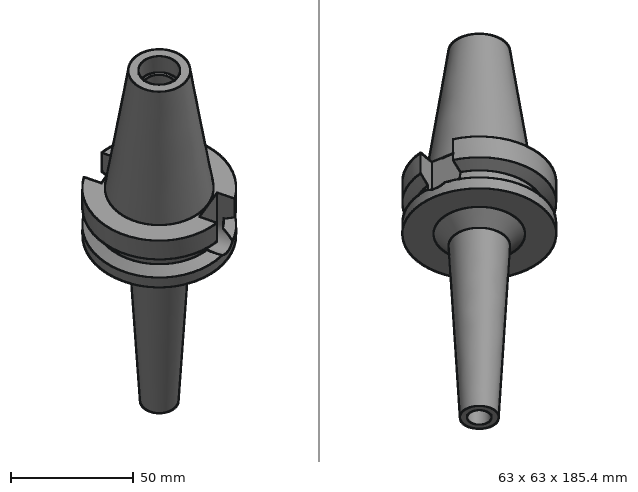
import cadquery as cq

total_length = 185.4
neck_base_z = 87.0
flange_base_z = 93.0
lower_rim_top_z = 98.6
groove_base_z = 101.5
groove_top_z = 105.9
upper_rim_base_z = 108.8
flange_top_z = 119.4
taper_base_z = 120.0

nose_radius = 8.0
shank_radius = 12.6
neck_radius = 18.7
flange_radius = 31.5
groove_radius = 26.5
taper_base_radius = 22.2
taper_slope = 7 / 48
taper_top_radius = taper_base_radius - taper_slope * (total_length - taper_base_z)

bore_radius = 5.0
bore_steps = [(8.5, 9.0), (7.0, 29.7), (5.5, 37.0)]

slot_width = 16.1
slot_floor_x = 22.5
slot_bottom_z = 97.1


def revolved_body():
    outline = [
        (0, 0),
        (nose_radius, 0),
        (shank_radius, neck_base_z),
        (neck_radius, flange_base_z),
        (flange_radius, flange_base_z),
        (flange_radius, lower_rim_top_z),
        (groove_radius, groove_base_z),
        (groove_radius, groove_top_z),
        (flange_radius, upper_rim_base_z),
        (flange_radius, flange_top_z),
        (taper_base_radius, flange_top_z),
        (taper_base_radius, taper_base_z),
        (taper_top_radius, total_length),
        (0, total_length),
    ]
    return cq.Workplane("XZ").polyline(outline).close().revolve(360, (0, 0), (0, 1))


def cut_bore(body):
    body = body.cut(cq.Workplane("XY").circle(bore_radius).extrude(total_length))
    for radius, depth in bore_steps:
        step = cq.Workplane("XY", origin=(0, 0, total_length)).circle(radius).extrude(-depth)
        body = body.cut(step)
    return body


def drive_slot(side):
    """Round-bottomed slot open at the flange top; side is +1 or -1 along X."""
    half_width = slot_width / 2
    return (
        cq.Workplane("YZ", origin=(side * slot_floor_x, 0, 0))
        .moveTo(-half_width, taper_base_z)
        .lineTo(-half_width, slot_bottom_z + half_width)
        .threePointArc((0, slot_bottom_z), (half_width, slot_bottom_z + half_width))
        .lineTo(half_width, taper_base_z)
        .close()
        .extrude(side * flange_radius)
    )


result = cut_bore(revolved_body())
for slot_side in (-1, 1):
    result = result.cut(drive_slot(slot_side))